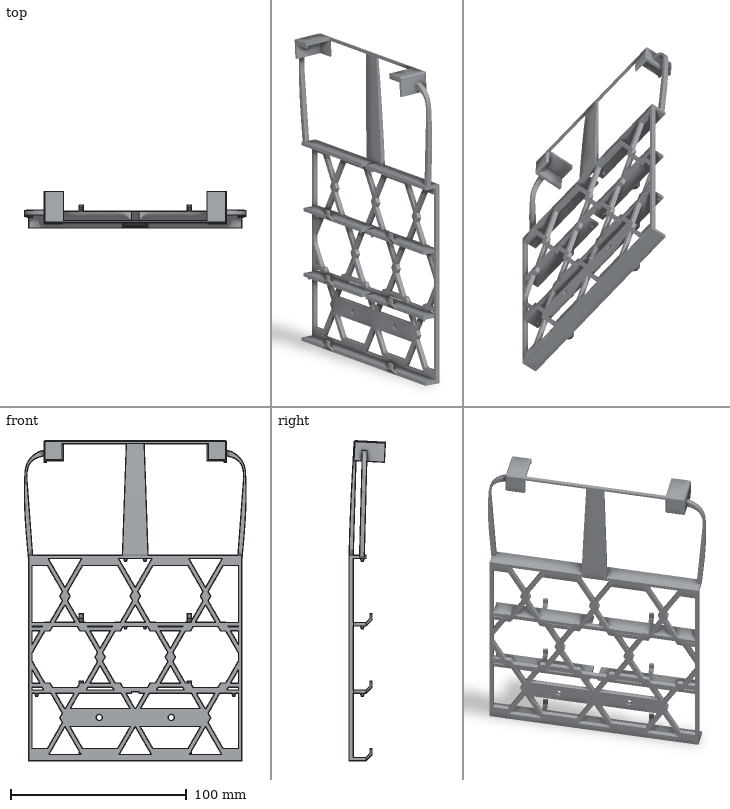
import cadquery as cq
import math

plate_width = 121.4
plate_thickness = 2.5
frame_side = 2.0
inside_width = plate_width - 2 * frame_side
shelf_pitch = 38.4
shelf_count = 4
shelf_thickness = 2.0
shelf_depth = 9.7
plate_height = shelf_pitch * (shelf_count - 1) + shelf_thickness
slot_width = 4.2

hexagon_pitch = 40.0
hexagon_radius = hexagon_pitch / 2
row_pitch = hexagon_pitch * math.sin(math.radians(60))
middle_row_z = 59.15
bar_width = 2.5
node_radius = 3.0
bottom_rim = 3.8

panel_z = 24.75
panel_height = 10.3
screw_spacing = 41.0
screw_diameter = 3.4

hook_x = 30.8
hook_width = 2.5
hook_thickness = 1.3
hook_reach = 3.5
hook_height = 7.0
peg_y = 7.6
peg_length = 1.6
peg_base_radius = 1.1
peg_tip_radius = 0.6
inner_peg_x = 5.5
outer_peg_x = 56.1

part_height = 182.31
part_depth = 20.82
part_width = 126.31
lean_angle = 3.0
lean_sin = math.sin(math.radians(lean_angle))
lean_cos = math.cos(math.radians(lean_angle))
wall = 1.5
beam_height = 1.8
clip_span = 104.0
clip_width = 11.3
clip_height = 11.5
clip_chamfer = 0.6
clip_bevel = 1.0
lip_drop = 1.3
lip_thickness = 1.0
post_bottom_width = 14.7
post_top_width = 10.2
post_sag = 0.55
post_setback = 0.15
hanger_front = -0.5
hanger_peak = hanger_front + clip_chamfer
hanger_height = (part_height - plate_height + hanger_peak * lean_sin) / lean_cos
clip_back = (part_depth - hanger_height * lean_sin) / lean_cos

arm_thickness = 2.8
arm_front_y = 6.0
arm_lean_angle = 1.5
arm_foot = -shelf_thickness / 2
arm_foot_outer_x = 60.9
arm_foot_inner_x = 58.3
arm_bulge_outer = (part_width / 2, 36.0)
arm_bulge_inner = (61.5, 42.0)
arm_shoulder_outer = (59.0, 55.9)
arm_shoulder_inner = (58.7, 53.6)
arm_end_top = 59.8
arm_end_bottom = 56.6
arm_end_slope = 0.15
arm_foot_slope = 0.09


def block(x0, x1, y0, y1, z0, z1):
    return cq.Workplane("XY").box(x1 - x0, y1 - y0, z1 - z0, centered=False).translate((x0, y0, z0))


def both_sides(shape):
    return shape.union(shape.mirror("YZ"))


def plate_prism(points):
    """Closed XZ outline, extruded through the plate thickness."""
    return cq.Workplane("XZ").polyline(points).close().extrude(-plate_thickness)


def hexagon(x, z, radius):
    corners = [math.radians(60 * i) for i in range(6)]
    return plate_prism([(x + radius * math.cos(a), z + radius * math.sin(a)) for a in corners])


def triangle(node_x, node_z, direction, base_z):
    """Triangle next to a crossing, opening up (+1) or down (-1) as far as base_z."""
    tip_z = node_z + direction * 2 * bar_width
    half_base = abs(base_z - tip_z) * math.tan(math.radians(30))
    return plate_prism([(node_x, tip_z), (node_x - half_base, base_z), (node_x + half_base, base_z)])


def lattice_plate():
    half_inside = inside_width / 2
    openings = []
    nodes = []
    for row in (-1, 0, 1):
        row_z = middle_row_z + row * row_pitch
        shift = hexagon_radius if row == 0 else 0
        for column in (-2, -1, 0, 1, 2):
            node_x = column * hexagon_pitch + shift
            openings.append(hexagon(node_x + hexagon_radius, row_z, hexagon_radius))
            if abs(node_x) < half_inside:
                nodes.append(hexagon(node_x, row_z, node_radius))
            for direction in (-1, 1):
                base_z = row_z + direction * (row_pitch / 2 - bar_width)
                if row == direction == 1:
                    base_z = plate_height - shelf_thickness
                if row == direction == -1:
                    base_z = bottom_rim
                openings.append(triangle(node_x, row_z, direction, base_z))
    for line_z in (middle_row_z - row_pitch / 2, middle_row_z + row_pitch / 2):
        for step in range(-3, 3):
            nodes.append(hexagon((step + 0.5) * hexagon_radius, line_z, node_radius))

    plate = block(-plate_width / 2, plate_width / 2, 0, plate_thickness, 0, plate_height)
    field = block(-half_inside, half_inside, 0, plate_thickness, 0, plate_height)
    web = field
    for opening in openings:
        web = web.cut(opening)
    for node in nodes:
        web = web.union(node)
    return plate.cut(field).union(web.intersect(field))


def mounting_panel():
    return block(
        -hexagon_pitch, hexagon_pitch, 0, plate_thickness,
        panel_z - panel_height / 2, panel_z + panel_height / 2,
    )


def screw_holes():
    hole = (
        cq.Workplane("XZ").center(screw_spacing / 2, panel_z)
        .circle(screw_diameter / 2).extrude(-plate_thickness)
    )
    return both_sides(hole)


def shelf(z, width, has_slot):
    body = block(-width / 2, width / 2, 0, shelf_depth, z, z + shelf_thickness)
    if has_slot:
        body = body.cut(block(-slot_width / 2, slot_width / 2, 0, shelf_depth, z, z + shelf_thickness))
    return body


def hooks(z):
    """Pair of arms that leave the shelf at 45 degrees and turn upright."""
    back = shelf_depth + hook_reach
    inner = back - hook_thickness
    inner_bend = shelf_thickness + inner - shelf_depth
    profile = [
        (shelf_depth - wall, 0), (shelf_depth, 0), (back, hook_reach), (back, hook_height),
        (inner, hook_height), (inner, inner_bend), (shelf_depth, shelf_thickness),
        (shelf_depth - wall, shelf_thickness),
    ]
    hook = cq.Workplane("YZ").polyline(profile).close().extrude(hook_width)
    return both_sides(hook.translate((hook_x - hook_width / 2, 0, z)))


def pegs(x, z):
    peg = (
        cq.Workplane("XY").circle(peg_base_radius)
        .workplane(offset=-peg_length).circle(peg_tip_radius).loft()
    )
    return both_sides(peg.translate((x, peg_y, z)))


def clip():
    """Corner cap at +X: front wall, outer side wall and top, with a lip at the back."""
    outer = clip_span / 2
    inner = outer - clip_width
    bottom = hanger_height - clip_height
    front_inside = hanger_front + wall
    beam_bottom = hanger_height - beam_height
    shell = block(inner, outer, hanger_front, clip_back, bottom, hanger_height)
    shell = shell.edges("(<Y and (>X or >Z or <Z)) or (>X and >Z)").chamfer(clip_chamfer)
    hollow = block(inner, outer - wall, front_inside, clip_back, bottom, beam_bottom)
    bevel = (
        cq.Workplane("XY", origin=(inner, hanger_front, bottom))
        .polyline([(0, 0), (clip_bevel, 0), (0, wall)]).close()
        .extrude(beam_bottom - bottom)
    )
    lip = block(
        inner, outer - wall / 2, clip_back - lip_thickness, clip_back,
        beam_bottom - lip_drop, hanger_height - beam_height / 2,
    )
    return shell.cut(hollow).cut(bevel).union(lip)


def beam():
    half_length = clip_span / 2 - clip_width + wall
    bottom = hanger_height - beam_height
    bar = block(-half_length, half_length, hanger_front, hanger_front + wall, bottom, hanger_height)
    return bar.edges("<Y and >Z").chamfer(clip_chamfer)


def post():
    """Central strut, narrowing and thinning towards the beam, with a slightly bowed front."""
    top = hanger_height - beam_height / 2
    side = (
        cq.Workplane("YZ")
        .moveTo(0, 0)
        .threePointArc((-post_sag, top / 2), (hanger_front + post_setback, top))
        .lineTo(hanger_front + wall, top)
        .lineTo(plate_thickness, 0)
        .close()
        .extrude(post_bottom_width / 2, both=True)
    )
    half_bottom = post_bottom_width / 2
    half_top = post_top_width / 2
    face = (
        cq.Workplane("XZ")
        .polyline([(-half_bottom, 0), (half_bottom, 0), (half_top, top), (-half_top, top)]).close()
        .extrude(plate_thickness * 2, both=True)
    )
    return side.intersect(face)


def lean(shape):
    return shape.rotate((0, 0, 0), (1, 0, 0), -lean_angle).translate((0, 0, plate_height))


def arms():
    """Bowed arms at both sides, thinnest where they bulge furthest outwards."""
    clip_side = clip_span / 2 - wall / 2
    straight_up = (0, 1)
    inward = (-1, arm_end_slope)
    outward = (1, -arm_end_slope)
    up_from_foot = (arm_foot_slope, 1)
    end_top = (clip_side, arm_end_top)
    down_to_foot = (arm_foot_inner_x - arm_bulge_inner[0], arm_foot - arm_bulge_inner[1])
    arm = (
        cq.Workplane("XZ")
        .moveTo(arm_foot_outer_x, arm_foot)
        .spline([arm_bulge_outer], tangents=[up_from_foot, straight_up], includeCurrent=True)
        .spline([arm_shoulder_outer, end_top], tangents=[straight_up, inward], includeCurrent=True)
        .lineTo(clip_side, arm_end_bottom)
        .spline(
            [arm_shoulder_inner, arm_bulge_inner], tangents=[outward, down_to_foot], includeCurrent=True
        )
        .lineTo(arm_foot_inner_x, arm_foot)
        .close()
        .extrude(-arm_thickness)
    )
    arm = arm.rotate((0, 0, 0), (1, 0, 0), -arm_lean_angle).translate((0, arm_front_y, plate_height))
    return both_sides(arm)


result = lattice_plate().union(mounting_panel()).cut(screw_holes())
for level in range(shelf_count):
    shelf_z = level * shelf_pitch
    is_end_shelf = level in (0, shelf_count - 1)
    shelf_width = plate_width if is_end_shelf else inside_width
    result = result.union(shelf(shelf_z, shelf_width, has_slot=level > 0))
    if level < shelf_count - 1:
        result = result.union(hooks(shelf_z))
    if level > 0:
        result = result.union(pegs(outer_peg_x if level == 1 else inner_peg_x, shelf_z))
result = result.union(lean(post().union(beam()).union(both_sides(clip())))).union(arms())